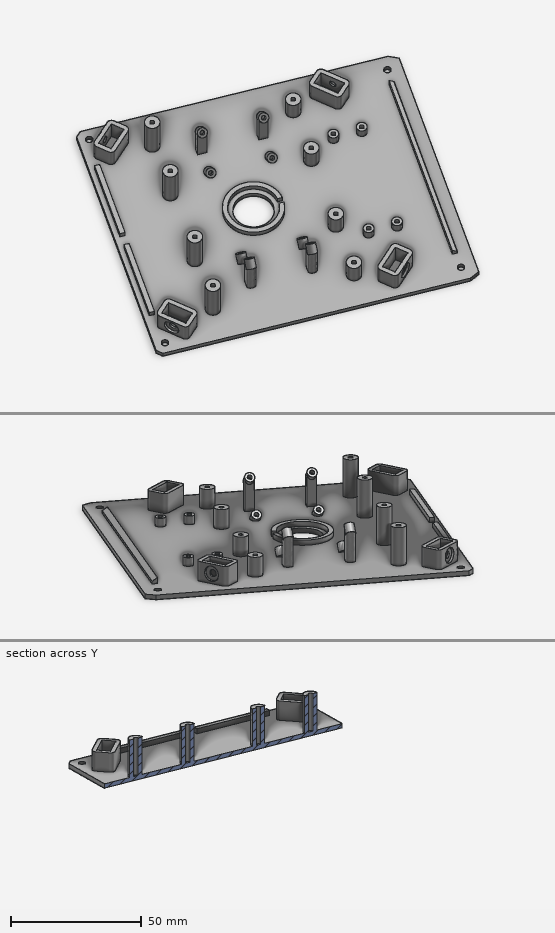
import cadquery as cq
import math

PLATE_X = 110.0
PLATE_Y = 129.6
PLATE_T = 2.0
CORNER_X = 2.1
CORNER_Y_BACK = 3.9
CORNER_Y_FRONT = 2.1

SCREW_HOLE_D = 2.9
SCREW_HOLES = [(49.0, 58.8), (50.4, -60.5)]

COLLAR_Y = -9.7
CENTRE_HOLE_D = 16.0
COLLAR_OUTER_D = 24.0
COLLAR_INNER_D = 20.0
COLLAR_TOP = 4.0
COLLAR_GAP = 2.2

RIDGE_W = 2.1
BACK_RIDGE_LENGTH = 84.2
BACK_RIDGE_Y = 57.4
BACK_RIDGE_LIP = 1.0
BACK_RIDGE_H = 2.5
FRONT_RIDGE_LENGTH = 33.7
FRONT_RIDGE_X = 19.6
FRONT_RIDGE_Y = -61.5
FRONT_RIDGE_H = 2.1

POST_D = 6.0
POST_HOLE_D = 1.8
POST_XS = [16.3, 40.5]
BACK_POST_Y = 18.4
BACK_POST_TOP = 10.0
FRONT_POST_Y = -38.2
FRONT_POST_TOP = 17.5
SMALL_POST_D = 4.1
SMALL_POST_X = 23.5
SMALL_POST_YS = [29.4, 40.8]
SMALL_POST_TOP = 5.5

BLOCK_X = 43.8
BLOCK_YS = [34.0, -53.7]
BLOCK_TOP = 10.0
POCKET_LENGTH = 10.4
POCKET_WIDTH = 5.5
BLOCK_WALL = 1.8
BLOCK_CORNER_R = 2.0
BLOCK_HOLE_D = 2.9
BLOCK_BORE_D = 6.2
BLOCK_BORE_DEPTH = 1.0
BACK_BLOCK_TURN = 135
FRONT_BLOCK_TURN = 45

TUBE_D = 4.0
TUBE_LENGTH = 4.0
TUBE_HOLE_D = 1.8
TUBE_HOLE_DEPTH = 2.6
TUBE_YS = [3.8, -20.9]
HIGH_TUBE_X = 32.5
HIGH_TUBE_TOP = 17.4
LOW_TUBE_X = 21.3
LOW_TUBE_TOP = 6.0
COLUMN_W = 3.8
COLUMN_FLAT = 2.6
TILT = math.radians(45)


def cylinder(diameter, x, y, bottom, top):
    return cq.Workplane("XY", origin=(x, y, bottom)).circle(diameter / 2).extrude(top - bottom)


def both_sides(shape):
    """The shape together with its mirror image across the YZ plane."""
    return shape.union(shape.mirror("YZ"))


def plate():
    half_x = PLATE_X / 2
    half_y = PLATE_Y / 2
    outline = [
        (-half_x, CORNER_Y_FRONT - half_y),
        (CORNER_X - half_x, -half_y),
        (half_x - CORNER_X, -half_y),
        (half_x, CORNER_Y_FRONT - half_y),
        (half_x, half_y - CORNER_Y_BACK),
        (half_x - CORNER_X, half_y),
        (CORNER_X - half_x, half_y),
        (-half_x, half_y - CORNER_Y_BACK),
    ]
    body = cq.Workplane("XY").polyline(outline).close().extrude(PLATE_T)
    for x, y in SCREW_HOLES:
        body = body.cut(both_sides(cylinder(SCREW_HOLE_D, x, y, 0, PLATE_T)))
    return body.cut(cylinder(CENTRE_HOLE_D, 0, COLLAR_Y, 0, PLATE_T))


def collar():
    ring = cylinder(COLLAR_OUTER_D, 0, COLLAR_Y, PLATE_T, COLLAR_TOP)
    ring = ring.cut(cylinder(COLLAR_INNER_D, 0, COLLAR_Y, PLATE_T, COLLAR_TOP))
    gap = cq.Workplane("XY").box(COLLAR_GAP, COLLAR_OUTER_D, COLLAR_TOP, centered=(True, False, False))
    return ring.cut(gap.translate((0, COLLAR_Y, PLATE_T)))


def back_ridge():
    """Ridge with an upright inner side and a top sloping down to a low outer lip."""
    profile = [
        (BACK_RIDGE_Y, PLATE_T),
        (BACK_RIDGE_Y + RIDGE_W, PLATE_T),
        (BACK_RIDGE_Y + RIDGE_W, PLATE_T + BACK_RIDGE_LIP),
        (BACK_RIDGE_Y, PLATE_T + BACK_RIDGE_H),
    ]
    return cq.Workplane("YZ").polyline(profile).close().extrude(BACK_RIDGE_LENGTH / 2, both=True)


def front_ridge():
    ridge = cq.Workplane("XY").box(
        FRONT_RIDGE_LENGTH, RIDGE_W, FRONT_RIDGE_H, centered=(True, True, False)
    )
    return ridge.translate((FRONT_RIDGE_X, FRONT_RIDGE_Y, PLATE_T))


def post(diameter, x, y, top):
    """Round post with a hole from its top down to the plate."""
    outer = cylinder(diameter, x, y, PLATE_T, top)
    return outer.cut(cylinder(POST_HOLE_D, x, y, PLATE_T, top))


def corner_block(y):
    """Open box on the +X side, with a counterbored hole facing the nearest plate corner."""
    length = POCKET_LENGTH + 2 * BLOCK_WALL
    width = POCKET_WIDTH + 2 * BLOCK_WALL
    height = BLOCK_TOP - PLATE_T
    block = cq.Workplane("XY").box(length, width, height).edges("|Z").fillet(BLOCK_CORNER_R)
    block = block.cut(cq.Workplane("XY").box(POCKET_LENGTH, POCKET_WIDTH, height))
    outer_face = cq.Workplane("XZ", origin=(0, -width / 2, 0))
    block = block.cut(outer_face.circle(BLOCK_HOLE_D / 2).extrude(-BLOCK_WALL))
    block = block.cut(outer_face.circle(BLOCK_BORE_D / 2).extrude(-BLOCK_BORE_DEPTH))
    turn = BACK_BLOCK_TURN if y > 0 else FRONT_BLOCK_TURN
    block = block.rotate((0, 0, 0), (0, 0, 1), turn)
    return block.translate((BLOCK_X, y, PLATE_T + height / 2))


def tilted_tube(peak_x, peak_z, y, has_column):
    """Tilted tube on the +X side; peak_x and peak_z place the highest point of its rim."""
    rise = TUBE_D / 2 * math.sin(TILT)
    run = TUBE_LENGTH * math.cos(TILT)
    mouth_x = peak_x - rise
    mouth_z = peak_z - rise
    mouth = cq.Plane(
        origin=(mouth_x, y, mouth_z), xDir=(0, 1, 0), normal=(-math.cos(TILT), 0, math.sin(TILT))
    )
    tube = cq.Workplane(mouth).circle(TUBE_D / 2).extrude(-TUBE_LENGTH)
    hole = cq.Workplane(mouth).circle(TUBE_HOLE_D / 2).extrude(-TUBE_HOLE_DEPTH)
    if has_column:
        tube = tube.union(column(mouth_x + run, mouth_z - run, rise, y))
    return tube.cut(hole)


def column(tail_x, tail_z, rise, y):
    """Upright column below a tube: its outer side follows the tube's tail, its inner side is flat."""
    inner_x = tail_x - COLUMN_FLAT
    side = [
        (inner_x, PLATE_T),
        (tail_x + rise, PLATE_T),
        (tail_x + rise, tail_z + rise),
        (tail_x, tail_z),
        (inner_x, tail_z + COLUMN_FLAT * math.tan(TILT)),
    ]
    upright = cq.Workplane("XZ").polyline(side).close().extrude(TUBE_D, both=True)
    section = cq.Workplane("XY", origin=(tail_x, 0, PLATE_T))
    footprint = section.ellipse(COLUMN_W / 2 * math.sin(TILT), COLUMN_W / 2).extrude(HIGH_TUBE_TOP)
    flat_part = section.center(-COLUMN_FLAT / 2, 0).rect(COLUMN_FLAT, COLUMN_W).extrude(HIGH_TUBE_TOP)
    return upright.intersect(footprint.union(flat_part)).translate((0, y, 0))


result = plate().union(collar()).union(back_ridge()).union(both_sides(front_ridge()))
for post_x in POST_XS:
    result = result.union(both_sides(post(POST_D, post_x, BACK_POST_Y, BACK_POST_TOP)))
    result = result.union(both_sides(post(POST_D, post_x, FRONT_POST_Y, FRONT_POST_TOP)))
for post_y in SMALL_POST_YS:
    result = result.union(both_sides(post(SMALL_POST_D, SMALL_POST_X, post_y, SMALL_POST_TOP)))
for block_y in BLOCK_YS:
    result = result.union(both_sides(corner_block(block_y)))
for tube_y in TUBE_YS:
    result = result.union(both_sides(tilted_tube(HIGH_TUBE_X, HIGH_TUBE_TOP, tube_y, True)))
    result = result.union(both_sides(tilted_tube(LOW_TUBE_X, LOW_TUBE_TOP, tube_y, False)))